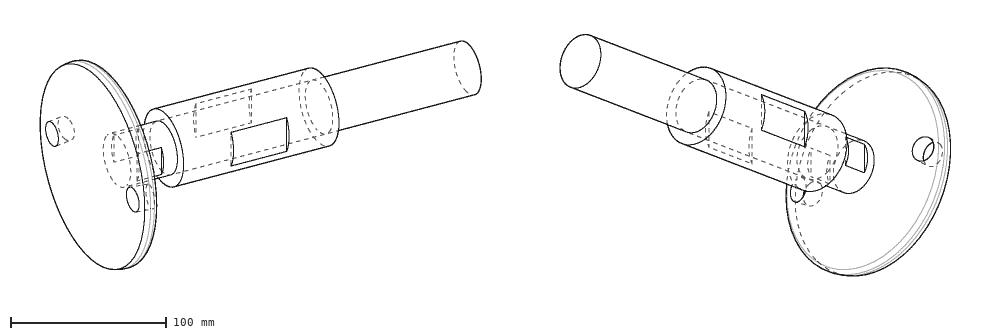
import cadquery as cq
import math

TOTAL_LENGTH = 278.0

FOOT_DIAMETER = 138.0
UNDERSIDE_INSET = 0.8
RIM_BOTTOM = 4.0
RIM_TOP = 6.7
RIM_ROUND = 3.0
CONE_ANGLE = 10.0

HOLE_DIAMETER = 16.5
HOLE_OFFSET = 52.5
HOLE_LENGTH = 55.5

SPINDLE_DIAMETER = 36.0
SPINDLE_ACROSS_FLATS = 30.0
SPINDLE_FLAT_START = 24.5
SPINDLE_FLAT_LENGTH = 18.0

SLEEVE_DIAMETER = 52.0
SLEEVE_START = 52.8
SLEEVE_LENGTH = 115.0
SLEEVE_ACROSS_FLATS = 46.0
SLEEVE_FLAT_LENGTH = 41.1

FOOT_RADIUS = FOOT_DIAMETER / 2


def cylinder(diameter, start, length):
    """Cylinder along +Y from y = start."""
    return cq.Workplane("XZ", origin=(0, start, 0)).circle(diameter / 2).extrude(-length)


def cut_wrench_flats(body, diameter, across_flats, start, length):
    """Cut two opposite flats, facing -X and +X."""
    for side in (-1, 1):
        cutter = cq.Workplane("XY").box(diameter, length, diameter)
        offset = side * (across_flats + diameter) / 2
        body = body.cut(cutter.translate((offset, start + length / 2, 0)))
    return body


def make_foot_disc():
    """Shallow cone with a tapered rim and a rounded upper edge."""
    slope = math.radians(CONE_ANGLE)
    round_x = FOOT_RADIUS - RIM_ROUND
    tangent_x = round_x + RIM_ROUND * math.sin(slope)
    tangent_y = RIM_TOP + RIM_ROUND * math.cos(slope)
    mid_angle = (math.pi / 2 - slope) / 2
    round_mid = (round_x + RIM_ROUND * math.cos(mid_angle), RIM_TOP + RIM_ROUND * math.sin(mid_angle))
    neck_radius = SPINDLE_DIAMETER / 2
    neck_y = tangent_y + (tangent_x - neck_radius) * math.tan(slope)
    return (
        cq.Workplane("XY")
        .lineTo(FOOT_RADIUS - UNDERSIDE_INSET, 0)
        .lineTo(FOOT_RADIUS, RIM_BOTTOM)
        .lineTo(FOOT_RADIUS, RIM_TOP)
        .threePointArc(round_mid, (tangent_x, tangent_y))
        .lineTo(neck_radius, neck_y)
        .lineTo(0, neck_y)
        .close()
        .revolve(360, (0, 0, 0), (0, 1, 0))
    )


def cut_bolt_holes(body):
    """Two through holes leaning outwards, normal to the cone face."""
    slope = math.radians(CONE_ANGLE)
    for side in (-1, 1):
        direction = cq.Vector(side * math.sin(slope), math.cos(slope), 0)
        start = cq.Vector(side * HOLE_OFFSET, 0, 0) - direction * (HOLE_LENGTH / 2)
        drill = cq.Solid.makeCylinder(HOLE_DIAMETER / 2, HOLE_LENGTH, start, direction)
        body = body.cut(cq.Workplane(drill))
    return body


def make_foot_spindle():
    """Foot disc and the spindle that rises from it, as one body."""
    spindle = cut_wrench_flats(
        cylinder(SPINDLE_DIAMETER, 0, TOTAL_LENGTH),
        SPINDLE_DIAMETER, SPINDLE_ACROSS_FLATS, SPINDLE_FLAT_START, SPINDLE_FLAT_LENGTH,
    )
    return cut_bolt_holes(make_foot_disc().union(spindle))


def make_sleeve():
    """Tube that fits round the spindle, with wrench flats at mid length."""
    tube = cylinder(SLEEVE_DIAMETER, SLEEVE_START, SLEEVE_LENGTH)
    tube = tube.cut(cylinder(SPINDLE_DIAMETER, SLEEVE_START, SLEEVE_LENGTH))
    flat_start = SLEEVE_START + (SLEEVE_LENGTH - SLEEVE_FLAT_LENGTH) / 2
    return cut_wrench_flats(tube, SLEEVE_DIAMETER, SLEEVE_ACROSS_FLATS, flat_start, SLEEVE_FLAT_LENGTH)


foot_spindle = make_foot_spindle()
sleeve = make_sleeve()
result = cq.Compound.makeCompound([foot_spindle.solids().val(), sleeve.solids().val()])